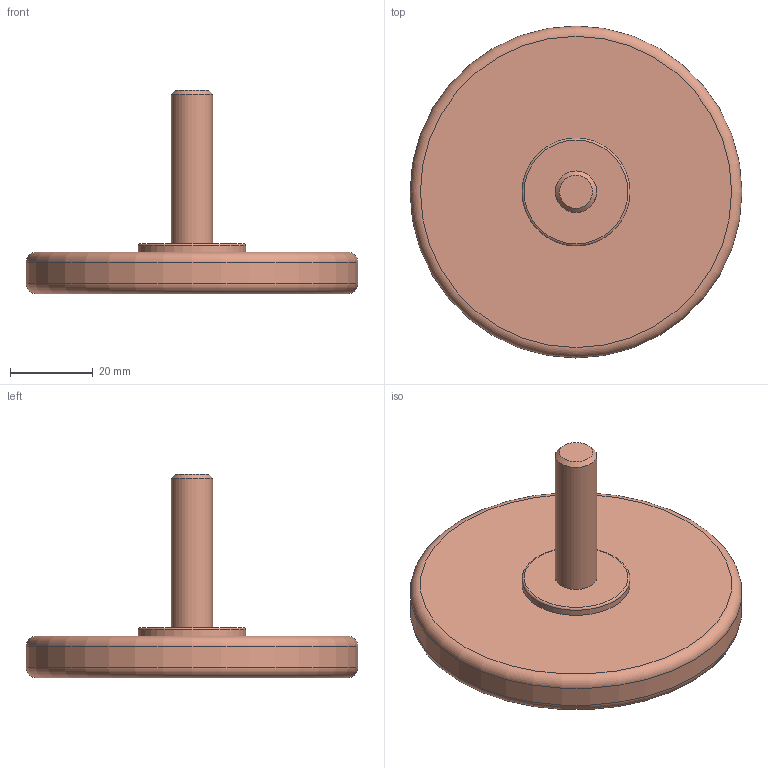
import cadquery as cq

disc_diameter = 80.0
disc_height = 10.0
disc_edge_radius = 2.5

collar_diameter = 26.0
collar_height = 2.0
collar_edge_radius = 0.5

stud_diameter = 10.0
stud_chamfer = 1.0
total_height = 49.0

collar_top = disc_height + collar_height
stud_length = total_height - collar_top


def cylinder(diameter, height, base_z):
    """Upright cylinder on the Z axis, starting at base_z."""
    return cq.Workplane("XY").workplane(offset=base_z).circle(diameter / 2).extrude(height)


def make_disc():
    """Base disc with both rims rounded."""
    return cylinder(disc_diameter, disc_height, 0).edges("%CIRCLE").fillet(disc_edge_radius)


def make_collar():
    """Thin collar with a rounded top rim."""
    collar = cylinder(collar_diameter, collar_height, disc_height)
    return collar.faces(">Z").edges().fillet(collar_edge_radius)


def make_stud():
    """Stud with a chamfered tip."""
    stud = cylinder(stud_diameter, stud_length, collar_top)
    return stud.faces(">Z").edges().chamfer(stud_chamfer)


result = make_disc().union(make_collar()).union(make_stud())